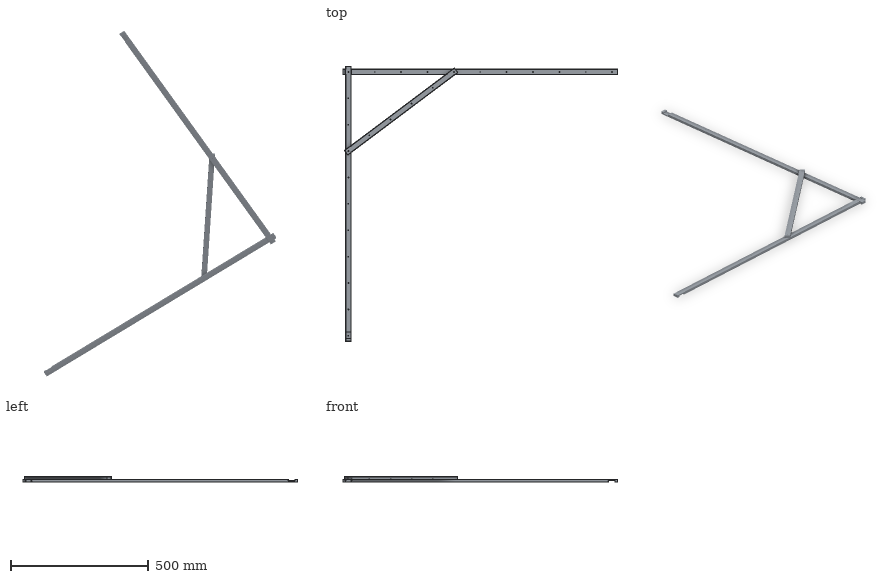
import cadquery as cq
import math

bar_width = 20.0
bar_height = 10.0
hole_pitch = 96.0
hole_diameter = 1.5

arm_length = 1000.0
arm_intervals = 10
arm_end = (arm_length - arm_intervals * hole_pitch) / 2
lap_width = 24.0
lap_depth = bar_height / 2
far_lap_inset = 2.0

brace_intervals = 5
brace_end = 10.0
arm_x_intervals = 4
arm_y_intervals = 3
brace_angle = math.degrees(math.atan2(arm_y_intervals, arm_x_intervals))


def drilled_bar(intervals, end):
    """Bar along +X with its first hole on the Z axis and its underside at Z = 0."""
    span = intervals * hole_pitch
    bar = cq.Workplane("XY").box(
        span + 2 * end, bar_width, bar_height, centered=(False, True, False)
    ).translate((-end, 0, 0))
    hole_places = [(i * hole_pitch, 0) for i in range(intervals + 1)]
    holes = cq.Workplane("XY").pushPoints(hole_places).circle(hole_diameter / 2).extrude(bar_height)
    return bar.cut(holes)


def lap_notch(x, bottom):
    """Half-depth notch across a bar, centred at x."""
    return cq.Workplane("XY").box(
        lap_width, bar_width, lap_depth, centered=(True, True, False)
    ).translate((x, 0, bottom))


def lapped_arm():
    """Arm notched from above at its first hole and from below near its last hole."""
    arm = drilled_bar(arm_intervals, arm_end)
    near_notch = lap_notch(0, bar_height - lap_depth)
    far_notch = lap_notch(arm_intervals * hole_pitch - far_lap_inset, 0)
    return arm.cut(near_notch).cut(far_notch)


arm_x = lapped_arm()

arm_y = (
    lapped_arm()
    .rotate((0, 0, bar_height / 2), (1, 0, bar_height / 2), 180)
    .rotate((0, 0, 0), (0, 0, 1), -90)
)

brace = (
    drilled_bar(brace_intervals, brace_end)
    .rotate((0, 0, 0), (0, 0, 1), brace_angle)
    .translate((0, -arm_y_intervals * hole_pitch, bar_height))
)

result = cq.Compound.makeCompound([arm_x.val(), arm_y.val(), brace.val()])